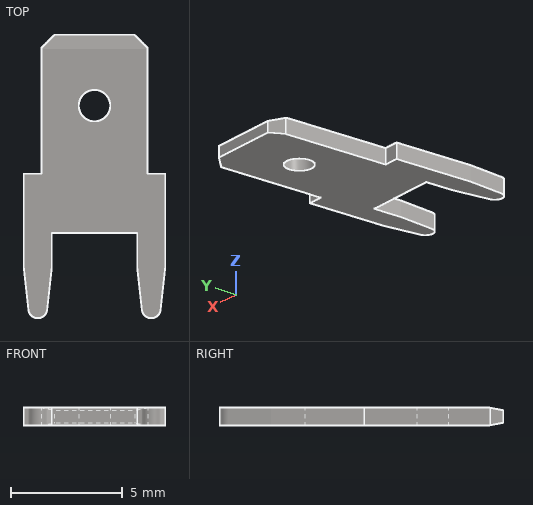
import cadquery as cq


thickness = 0.81
body_width = 6.35
total_length = 12.7

leg_length = 3.81
leg_width = 1.27
leg_taper_start = 2.29
leg_tip_radius = 0.43
leg_spacing = body_width - leg_width

blade_width = 4.75
blade_length = 6.22
tip_bevel_length = 0.635
tip_corner_cut = 0.58
tip_face_bevel = 0.12

hole_diameter = 1.4
hole_from_tip = 3.175

shoulder_y = total_length - blade_length
bevel_start_y = total_length - tip_bevel_length
corner_start_y = total_length - tip_corner_cut


def make_body():
    """Wide middle section between the legs and the blade."""
    return (
        cq.Workplane("XY")
        .center(0, (shoulder_y + leg_length) / 2)
        .rect(body_width, shoulder_y - leg_length)
        .extrude(thickness)
    )


def make_leg(center_x):
    """Leg with straight upper sides, a taper and a round end."""
    half_width = leg_width / 2
    return (
        cq.Workplane("XY")
        .moveTo(center_x - half_width, leg_length)
        .lineTo(center_x - half_width, leg_taper_start)
        .lineTo(center_x - leg_tip_radius, leg_tip_radius)
        .threePointArc((center_x, 0), (center_x + leg_tip_radius, leg_tip_radius))
        .lineTo(center_x + half_width, leg_taper_start)
        .lineTo(center_x + half_width, leg_length)
        .close()
        .extrude(thickness)
    )


def make_blade():
    """Blade with cut corners and both broad faces bevelled at the tip."""
    half_width = blade_width / 2
    half_tip = half_width - tip_corner_cut
    outline = (
        cq.Workplane("XY")
        .polyline(
            [
                (-half_width, shoulder_y),
                (half_width, shoulder_y),
                (half_width, corner_start_y),
                (half_tip, total_length),
                (-half_tip, total_length),
                (-half_width, corner_start_y),
            ]
        )
        .close()
        .extrude(thickness)
    )
    side_profile = (
        cq.Workplane("YZ")
        .polyline(
            [
                (shoulder_y, 0),
                (bevel_start_y, 0),
                (total_length, tip_face_bevel),
                (total_length, thickness - tip_face_bevel),
                (bevel_start_y, thickness),
                (shoulder_y, thickness),
            ]
        )
        .close()
        .extrude(half_width, both=True)
    )
    return outline.intersect(side_profile)


def make_hole():
    """Locking hole through the blade."""
    return (
        cq.Workplane("XY")
        .center(0, total_length - hole_from_tip)
        .circle(hole_diameter / 2)
        .extrude(thickness)
    )


terminal = make_body().union(make_blade())
for side in (-1, 1):
    terminal = terminal.union(make_leg(side * leg_spacing / 2))

result = terminal.cut(make_hole()).clean()